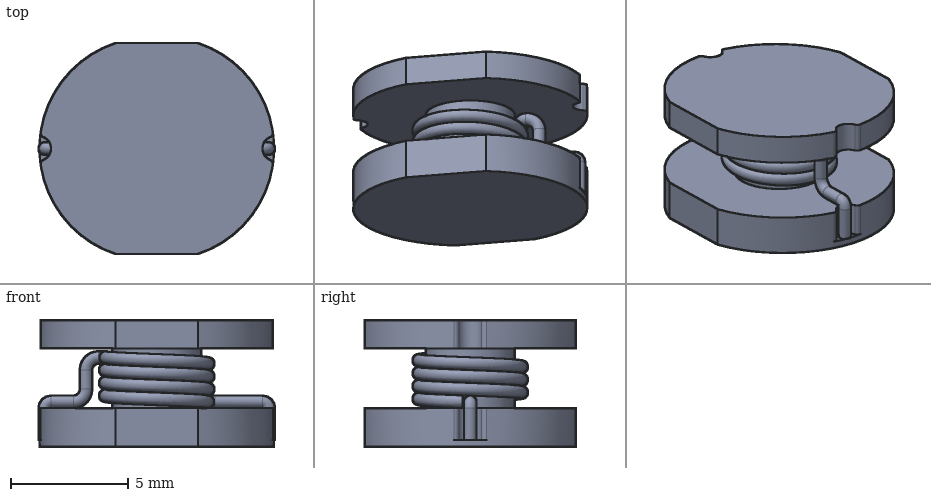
import cadquery as cq
import math

FLANGE_LENGTH = 10.0
FLANGE_WIDTH = 9.0
FLAT_LENGTH = 3.5
BASE_THICKNESS = 1.65
CAP_THICKNESS = 1.2
TOTAL_HEIGHT = 5.4
CAP_BOTTOM = TOTAL_HEIGHT - CAP_THICKNESS

CORE_DIAMETER = 3.81

WIRE_DIAMETER = 0.54
WIRE_RADIUS = WIRE_DIAMETER / 2
COIL_CLEARANCE = 0.02
COIL_RADIUS = CORE_DIAMETER / 2 + COIL_CLEARANCE + WIRE_RADIUS
COIL_TURNS = 3.5
EXIT_BEND_RADIUS = 0.3

LEAD_SPAN = 10.09
LEAD_X = LEAD_SPAN / 2 - WIRE_RADIUS
LEAD_BOTTOM = 0.3
LOW_Z = BASE_THICKNESS + WIRE_RADIUS
HIGH_Z = 3.81
STEP_BEND_RADIUS = 0.54
DROP_BEND_RADIUS = WIRE_RADIUS

NOTCH_RADIUS = 0.52
NOTCH_X = LEAD_X - WIRE_RADIUS + NOTCH_RADIUS
NOTCH_MOUTH_FILLET = 0.2

EXIT_ANGLE = math.asin(EXIT_BEND_RADIUS / COIL_RADIUS)
COIL_END_X = COIL_RADIUS * math.cos(EXIT_ANGLE)
LEAD_START_X = COIL_END_X + EXIT_BEND_RADIUS
COIL_HEIGHT = HIGH_Z - LOW_Z
COIL_SWEEP_TURNS = COIL_TURNS - EXIT_ANGLE / math.pi
COIL_PITCH = COIL_HEIGHT / COIL_SWEEP_TURNS

BEND_MID = math.sqrt(0.5)


def flange(bottom, thickness):
    """Plate with two flats and two bulging ends."""
    flat_x = FLAT_LENGTH / 2
    flat_y = FLANGE_WIDTH / 2
    end_x = FLANGE_LENGTH / 2
    return (
        cq.Workplane("XY", origin=(0, 0, bottom))
        .moveTo(-flat_x, flat_y)
        .lineTo(flat_x, flat_y)
        .threePointArc((end_x, 0), (flat_x, -flat_y))
        .lineTo(-flat_x, -flat_y)
        .threePointArc((-end_x, 0), (-flat_x, flat_y))
        .close()
        .extrude(thickness)
    )


def notched_flange(bottom, thickness):
    """Flange with a round-mouthed lead notch through each bulging end."""
    notches = (
        cq.Workplane("XY", origin=(0, 0, bottom))
        .pushPoints([(-NOTCH_X, 0), (NOTCH_X, 0)])
        .circle(NOTCH_RADIUS)
        .extrude(thickness)
    )
    mouth_edges = cq.selectors.BoxSelector(
        (-FLANGE_LENGTH, -NOTCH_RADIUS, bottom),
        (FLANGE_LENGTH, NOTCH_RADIUS, bottom + thickness),
    )
    return (
        flange(bottom, thickness)
        .cut(notches)
        .edges("|Z")
        .edges(mouth_edges)
        .fillet(NOTCH_MOUTH_FILLET)
    )


def bobbin():
    """Base flange with a closed floor below its notches, core and cap flange."""
    core = (
        cq.Workplane("XY", origin=(0, 0, BASE_THICKNESS))
        .circle(CORE_DIAMETER / 2)
        .extrude(CAP_BOTTOM - BASE_THICKNESS)
    )
    return (
        flange(0, LEAD_BOTTOM)
        .union(notched_flange(LEAD_BOTTOM, BASE_THICKNESS - LEAD_BOTTOM))
        .union(core)
        .union(notched_flange(CAP_BOTTOM, CAP_THICKNESS))
    )


def sweep_wire(path, start, direction):
    """Round wire swept along a path that leaves start in the given direction."""
    section = cq.Workplane(cq.Plane(origin=start, normal=direction)).circle(WIRE_RADIUS)
    return section.sweep(path)


def coil():
    """Left-handed helix from the low lead at +X up to the high lead at -X."""
    helix = cq.Wire.makeHelix(COIL_PITCH, COIL_HEIGHT, COIL_RADIUS, lefthand=True)
    start_angle = -math.degrees(EXIT_ANGLE)
    turn = (
        cq.Workplane("XZ", origin=(COIL_RADIUS, 0, 0))
        .circle(WIRE_RADIUS)
        .sweep(cq.Workplane(obj=helix), isFrenet=True)
    )
    return turn.rotate((0, 0, 0), (0, 0, 1), start_angle).translate((0, 0, LOW_Z))


def exit_bend(side, height):
    """Quarter bend in the XY plane from the coil end to a radial lead."""
    bend_middle = (
        side * (LEAD_START_X - EXIT_BEND_RADIUS * BEND_MID),
        -EXIT_BEND_RADIUS * (1 - BEND_MID),
    )
    path = (
        cq.Workplane("XY", origin=(0, 0, height))
        .moveTo(side * LEAD_START_X, 0)
        .threePointArc(bend_middle, (side * COIL_END_X, -EXIT_BEND_RADIUS))
    )
    return sweep_wire(path, (side * LEAD_START_X, 0, height), (-side, 0, 0))


def drop(inner_x):
    """Lead at -X: lying on the base, turned down into its notch, standing on the notch floor."""
    bend_x = LEAD_X - DROP_BEND_RADIUS
    bend_z = LOW_Z - DROP_BEND_RADIUS
    lying = (
        cq.Workplane("YZ", origin=(-bend_x, 0, LOW_Z))
        .circle(WIRE_RADIUS)
        .extrude(bend_x - inner_x)
    )
    bend = (
        cq.Workplane("XY", origin=(-LEAD_X, 0, bend_z))
        .circle(WIRE_RADIUS)
        .revolve(90, (DROP_BEND_RADIUS, 0), (DROP_BEND_RADIUS, 1))
    )
    standing = (
        cq.Workplane("XY", origin=(-LEAD_X, 0, LEAD_BOTTOM))
        .circle(WIRE_RADIUS)
        .extrude(bend_z - LEAD_BOTTOM)
    )
    return lying.union(bend).union(standing)


def step_down():
    """S-shaped length of the -X lead from the top of the coil down to the base."""
    riser_x = -LEAD_START_X - STEP_BEND_RADIUS
    foot_x = riser_x - STEP_BEND_RADIUS
    arc_inset = STEP_BEND_RADIUS * (1 - BEND_MID)
    path = (
        cq.Workplane("XZ")
        .moveTo(-LEAD_START_X, HIGH_Z)
        .threePointArc(
            (riser_x + arc_inset, HIGH_Z - arc_inset),
            (riser_x, HIGH_Z - STEP_BEND_RADIUS),
        )
        .lineTo(riser_x, LOW_Z + STEP_BEND_RADIUS)
        .threePointArc(
            (riser_x - arc_inset, LOW_Z + arc_inset),
            (foot_x, LOW_Z),
        )
    )
    return sweep_wire(path, (-LEAD_START_X, 0, HIGH_Z), (-1, 0, 0))


def winding():
    """Coil with its +X lead leaving at the bottom and its -X lead at the top."""
    foot_x = LEAD_START_X + 2 * STEP_BEND_RADIUS
    return (
        coil()
        .union(exit_bend(1, LOW_Z))
        .union(drop(LEAD_START_X).mirror("YZ"))
        .union(exit_bend(-1, HIGH_Z))
        .union(step_down())
        .union(drop(foot_x))
    )


result = bobbin().union(winding())